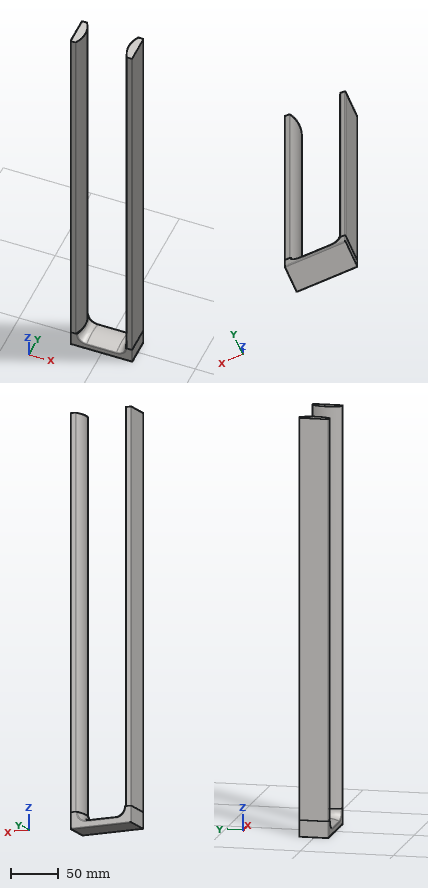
import cadquery as cq

width = 70.0
depth = 32.0
height = 451.0

crown_thickness = 10.5
leg_side_thickness = 6.0
base_side_thickness = 7.0
edge_radius = 1.0

corner_size = 18.0

half_width = width / 2
half_depth = depth / 2
bend_x = half_width - corner_size


def crowned_outline(plane, side_reach, crown_reach):
    """Closed outline with a straight back on local y and a curved face reaching along local x."""
    return (
        cq.Workplane(plane)
        .moveTo(0, -half_depth)
        .lineTo(side_reach, -half_depth)
        .threePointArc((crown_reach, 0), (side_reach, half_depth))
        .lineTo(0, half_depth)
        .close()
    )


def make_leg(side):
    """Straight bar standing on a corner; side is -1 for the left leg and +1 for the right one."""
    plane = cq.Plane(
        origin=(side * half_width, 0, corner_size),
        xDir=(-side, 0, 0),
        normal=(0, 0, 1),
    )
    bar = crowned_outline(plane, leg_side_thickness, crown_thickness).extrude(height - corner_size)
    return bar.edges("|Z").fillet(edge_radius).solids()


def bend_hollow(side):
    """Space inside a corner: the crowned inner face turned about the bend axis."""
    plane = cq.Plane(origin=(side * bend_x, 0, corner_size))
    side_radius = corner_size - base_side_thickness
    crown_radius = corner_size - crown_thickness
    outline = crowned_outline(plane, side_radius, crown_radius)
    return outline.revolve(360, (0, 0, 0), (0, 1, 0))


def make_corner(side):
    """Square block rounded out on the inside."""
    block = cq.Workplane("XY").box(
        corner_size, depth, corner_size, centered=(True, True, False)
    )
    block = block.translate((side * (half_width - corner_size / 2), 0, 0))
    return block.cut(bend_hollow(side))


def make_base():
    """Straight bottom bar with a corner at each end and rounded front and back edges."""
    plane = cq.Plane(origin=(-bend_x, 0, 0), xDir=(0, 0, 1), normal=(1, 0, 0))
    base = crowned_outline(plane, base_side_thickness, crown_thickness).extrude(2 * bend_x)
    for side in (-1, 1):
        base = base.union(make_corner(side))
    return base.clean().faces("<Y or >Y").edges("not >Z").fillet(edge_radius).solids()


base = make_base()
legs = [make_leg(side) for side in (-1, 1)]

result = cq.Compound.makeCompound([base.val(), *[leg.val() for leg in legs]])